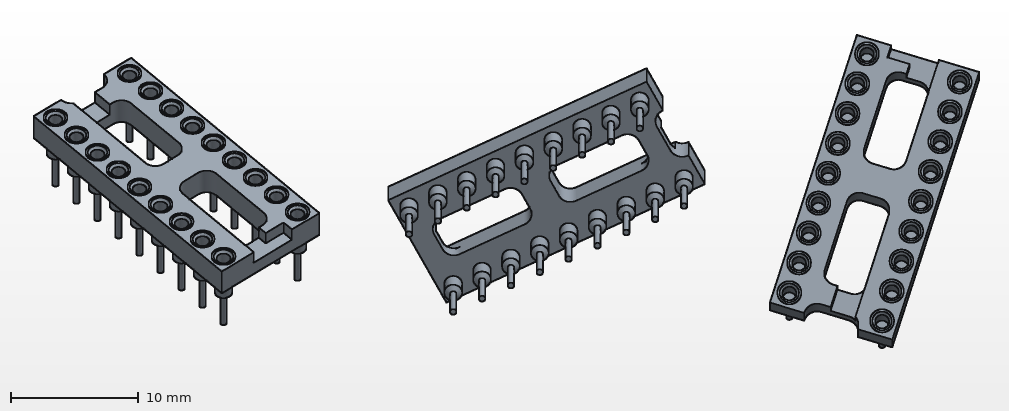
import cadquery as cq

body_length = 22.76
body_width = 10.06
body_height = 2.4
overall_height = 7.37

contacts_per_row = 9
contact_pitch = 2.54
row_spacing = 3 * contact_pitch

window_width = 3.44
window_radius = 1.0
window_spans = [(-8.5, -0.73), (1.8, 9.52)]

notch_half_width = 2.2
notch_depth = 1.07
notch_radius = 1.05

channel_depth = 1.13
channel_near_y = -window_width / 2
channel_far_y = 0.37
end_step_x = 10.36
end_step_far_y = notch_half_width

recess_diameter = 1.88
recess_depth = 0.05
mouth_diameter = 1.52
bore_diameter = 1.1
mouth_depth = 0.22
bore_depth = 2.0
collar_diameter = 1.4
collar_drop = 1.55
cone_height = 0.26
tail_diameter = 0.51
tail_end_z = body_height - overall_height


def box_between(x_range, y_range, z_range):
    """Axis-aligned box given its limits along X, Y and Z."""
    size = [high - low for low, high in (x_range, y_range, z_range)]
    corner = (x_range[0], y_range[0], z_range[0])
    return cq.Workplane("XY").box(*size, centered=False).translate(corner)


def make_window(x_start, x_end):
    window = box_between((x_start, x_end), (-window_width / 2, window_width / 2), (0, body_height))
    return window.edges("|Z").fillet(window_radius)


def make_notch():
    end_x = -body_length / 2
    notch = box_between(
        (end_x - notch_depth, end_x + notch_depth),
        (-notch_half_width, notch_half_width),
        (0, body_height),
    )
    return notch.edges("|Z and >X").fillet(notch_radius)


def make_channels():
    """Shallow channel beyond the outer end of each window, open at both ends."""
    z_range = (body_height - channel_depth, body_height)
    y_range = (channel_near_y, channel_far_y)
    first_window_middle = sum(window_spans[0]) / 2
    last_window_middle = sum(window_spans[-1]) / 2
    notch_end = box_between((-body_length / 2, first_window_middle), y_range, z_range)
    plain_end = box_between((last_window_middle, body_length / 2), y_range, z_range)
    end_step = box_between((end_step_x, body_length / 2), (channel_near_y, end_step_far_y), z_range)
    return notch_end.union(plain_end).union(end_step)


def make_body():
    body = cq.Workplane("XY").box(body_length, body_width, body_height, centered=(True, True, False))
    for x_start, x_end in window_spans:
        body = body.cut(make_window(x_start, x_end))
    return body.cut(make_notch()).cut(make_channels())


def revolve_profile(points):
    """Turn a closed (radius, Z) outline about the Z axis."""
    return cq.Workplane("XZ").polyline(points).close().revolve(360, (0, 0, 0), (0, 1, 0))


def make_sleeve():
    """Collar, cone and solder tail below the body, rooted inside it."""
    collar_radius = collar_diameter / 2
    tail_radius = tail_diameter / 2
    cone_top_z = -collar_drop
    cone_end_z = cone_top_z - cone_height
    root_z = body_height / 2
    return revolve_profile([
        (0, root_z),
        (collar_radius, root_z),
        (collar_radius, cone_top_z),
        (tail_radius, cone_end_z),
        (tail_radius, tail_end_z),
        (0, tail_end_z),
    ])


def make_socket():
    """Recess, tapered mouth and blind bore sunk from the top of a contact."""
    recess_radius = recess_diameter / 2
    mouth_radius = mouth_diameter / 2
    bore_radius = bore_diameter / 2
    sleeve_top_z = body_height - recess_depth
    bore_top_z = sleeve_top_z - mouth_depth
    floor_z = body_height - bore_depth
    return revolve_profile([
        (0, body_height),
        (recess_radius, body_height),
        (recess_radius, sleeve_top_z),
        (mouth_radius, sleeve_top_z),
        (bore_radius, bore_top_z),
        (bore_radius, floor_z),
        (0, floor_z),
    ])


def at_contacts(shape):
    """One copy of a shape at every contact position."""
    contacts = cq.Workplane("XY").rarray(contact_pitch, row_spacing, contacts_per_row, 2)
    return contacts.eachpoint(lambda location: shape.val().located(location))


result = make_body().union(at_contacts(make_sleeve())).cut(at_contacts(make_socket()))